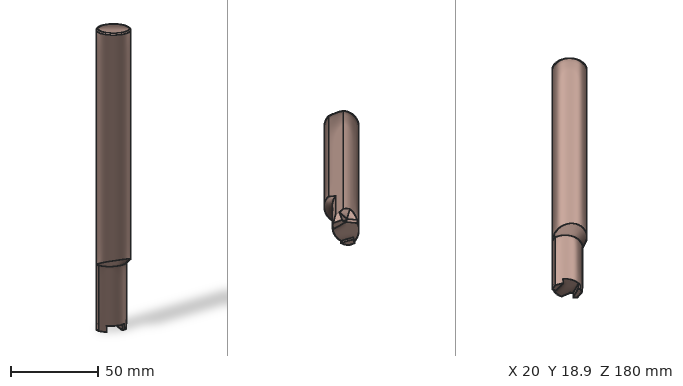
import cadquery as cq
import math

length = 180.0
shank_radius = 9.99
shank_flat_y = 8.91
top_chamfer = 0.9

arm_radius = shank_radius
arm_axis_x = -5.2
arm_axis_y = 0.4
arm_top = 39.2
front_flat_y = -8.8

tooth_height = 3.6
tooth_left_x = -4.7
tooth_right_x = 3.6
front_tooth_left_y = -6.3
front_tooth_right_y = -5.8
back_tooth_left_y = 5.0
back_tooth_right_y = 3.6

notch_edge = (-9.9, 0.9, 0)
notch_corner = (-4.7, 3.6, 0)
notch_floor_angle = 65.0
notch_bottom = 9.0
notch_top = 15.1
notch_runout = 3.8

relief_top = 8.6
relief_bottom_y = 7.0

clearance = 36.0


def make_shank():
    shank = cq.Workplane("XY").circle(shank_radius).extrude(length)
    shank = shank.faces(">Z").chamfer(top_chamfer)
    flat = cq.Workplane("XY").box(clearance, clearance, length, centered=(True, False, False))
    return shank.cut(flat.translate((0, shank_flat_y, 0)))


def make_arm_envelope():
    """Space occupied by the arm: a cylinder opening upward into a cone."""
    outer_radius = arm_radius + clearance
    cone_top = arm_top + clearance
    return (
        cq.Workplane("XZ")
        .polyline([(0, 0), (arm_radius, 0), (arm_radius, arm_top),
                   (outer_radius, cone_top), (outer_radius, length), (0, length)])
        .close()
        .revolve(360, (0, 0), (0, 1))
        .translate((arm_axis_x, arm_axis_y, 0))
    )


def extrude_along_x(points):
    return cq.Workplane("YZ").polyline(points).close().extrude(clearance, both=True)


def make_arm_clearance():
    """Space beside the arm, on the +X side of the tooth line only."""
    block = cq.Workplane("XY").box(clearance, 2 * clearance, length, centered=(False, True, False))
    return block.translate((tooth_left_x, 0, 0)).cut(make_arm_envelope())


def make_front_flat_cut():
    return extrude_along_x([
        (front_flat_y, 0), (front_flat_y, arm_top),
        (front_flat_y - clearance, arm_top + clearance), (front_flat_y - clearance, 0),
    ])


def make_tooth_block(left_y, right_y, outer_y):
    """Block around one tooth, bounded by its left, right and slanting inner sides."""
    return (
        cq.Workplane("XY")
        .polyline([(tooth_left_x, left_y), (tooth_right_x, right_y),
                   (tooth_right_x, outer_y), (tooth_left_x, outer_y)])
        .close()
        .extrude(tooth_height)
    )


def make_end_cut():
    """Removes the end below the body, leaving the two teeth."""
    slab = cq.Workplane("XY").box(2 * clearance, 2 * clearance, tooth_height, centered=(True, True, False))
    front_tooth = make_tooth_block(front_tooth_left_y, front_tooth_right_y, -clearance)
    back_tooth = make_tooth_block(back_tooth_left_y, back_tooth_right_y, clearance)
    return slab.cut(front_tooth).cut(back_tooth)


def make_notch():
    """Corner notch on the -X, +Y side, bounded by a wall and a floor that slope outward at the top."""
    wall_rise = notch_corner[1] - notch_edge[1]
    wall_run = notch_corner[0] - notch_edge[0]
    wall_angle = math.degrees(math.atan2(wall_rise, wall_run))
    half_space = extrude_along_x([
        (0, 0), (0, notch_bottom), (notch_runout, notch_top), (clearance, notch_top), (clearance, 0),
    ])
    axis_start = (0, 0, 0)
    axis_end = (0, 0, 1)
    beyond_wall = half_space.rotate(axis_start, axis_end, wall_angle).translate(notch_corner)
    beyond_floor = half_space.rotate(axis_start, axis_end, notch_floor_angle).translate(notch_corner)
    return beyond_wall.intersect(beyond_floor)


def make_back_relief():
    return extrude_along_x([
        (relief_bottom_y, 0), (shank_flat_y, relief_top), (clearance, relief_top), (clearance, 0),
    ])


result = (
    make_shank()
    .cut(make_arm_clearance())
    .cut(make_front_flat_cut())
    .cut(make_end_cut())
    .cut(make_notch())
    .cut(make_back_relief())
)